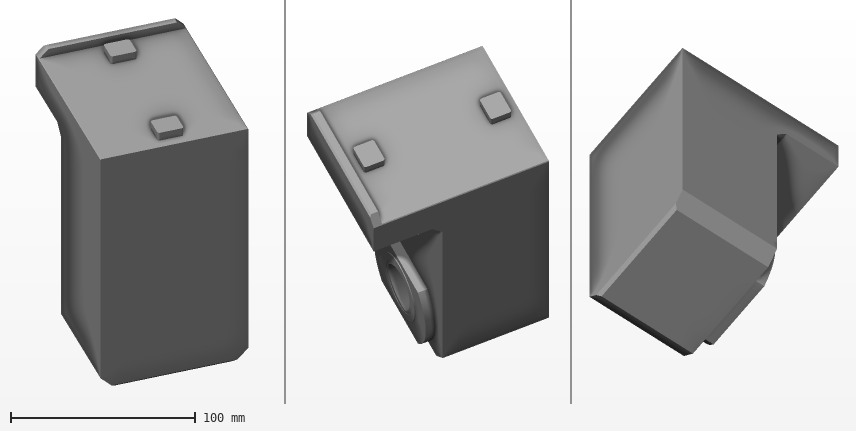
import cadquery as cq
import math

LENGTH = 105.0
WIDTH = 85.0
HEIGHT = 159.0

LIP_HEIGHT = 5.1
LIP_LENGTH = 5.2
LIP_EDGE_CHAMFER = 1.1
DECK_Z = HEIGHT - LIP_HEIGHT
ARM_BOTTOM_Z = 132.0
COLUMN_X = 41.3
ARM_CORNER_CHAMFER = 6.4
BACK_CHAMFER = 2.0

TOP_SIDE_CHAMFER = 5.5
BOTTOM_SIDE_CHAMFER = 8.3

KEY_LENGTH = 12.4
KEY_WIDTH = 15.0
KEY_CORNER_RADIUS = 1.3
KEY_CENTERS_X = (17.2, 92.9)

SOCKET_Z = 24.2
FLANGE_DIAMETER = 66.1
FLANGE_HEIGHT = 47.4
FLANGE_THICKNESS = 5.7
RING_DIAMETER = 40.0
RING_THICKNESS = 0.5
RECESS_DIAMETER = 31.6
RECESS_DEPTH = 0.3
FLANGE_FACE_X = COLUMN_X - FLANGE_THICKNESS
RING_FACE_X = FLANGE_FACE_X - RING_THICKNESS

SOCKET_MEAN_RADIUS = 13.7
SOCKET_LOBE = 1.0
SOCKET_DEPTH = 28.6
SOCKET_RADIUS_LOSS = 0.6
SOCKET_SPLINE_POINTS = 36


def make_body():
    """L-shaped profile across the width, trimmed by the chamfered end outline."""
    profile = (
        cq.Workplane("XZ")
        .moveTo(0, ARM_BOTTOM_Z)
        .lineTo(COLUMN_X - ARM_CORNER_CHAMFER, ARM_BOTTOM_Z)
        .lineTo(COLUMN_X, ARM_BOTTOM_Z - ARM_CORNER_CHAMFER)
        .lineTo(COLUMN_X, 0)
        .lineTo(LENGTH - BACK_CHAMFER, 0)
        .lineTo(LENGTH, BACK_CHAMFER)
        .lineTo(LENGTH, DECK_Z)
        .lineTo(LIP_LENGTH, DECK_Z)
        .lineTo(LIP_LENGTH, HEIGHT)
        .lineTo(LIP_EDGE_CHAMFER, HEIGHT)
        .lineTo(0, HEIGHT - LIP_EDGE_CHAMFER)
        .close()
        .extrude(WIDTH / 2, both=True)
    )
    envelope = (
        cq.Workplane("XY")
        .box(LENGTH, WIDTH, HEIGHT, centered=(False, True, False))
        .edges("|X and >Z")
        .chamfer(TOP_SIDE_CHAMFER)
        .edges("|X and <Z")
        .chamfer(BOTTOM_SIDE_CHAMFER)
    )
    return profile.intersect(envelope)


def make_key(center_x):
    """Rounded rectangular key standing on the deck."""
    return (
        cq.Workplane("XY", origin=(center_x, 0, DECK_Z))
        .rect(KEY_LENGTH, KEY_WIDTH)
        .extrude(LIP_HEIGHT)
        .edges("|Z")
        .fillet(KEY_CORNER_RADIUS)
    )


def make_disc(face_x, diameter, thickness):
    """Disc on the socket axis, running in +X from its outer face."""
    plane = cq.Workplane("YZ", origin=(face_x, 0, SOCKET_Z))
    return plane.circle(diameter / 2).extrude(thickness)


def make_flange():
    """Round flange with flats above and below, carrying a slightly raised ring."""
    flats = cq.Workplane("XY", origin=(FLANGE_FACE_X, 0, SOCKET_Z - FLANGE_HEIGHT / 2)).box(
        FLANGE_THICKNESS, FLANGE_DIAMETER, FLANGE_HEIGHT, centered=(False, True, False)
    )
    flange = make_disc(FLANGE_FACE_X, FLANGE_DIAMETER, FLANGE_THICKNESS).intersect(flats)
    return flange.union(make_disc(RING_FACE_X, RING_DIAMETER, RING_THICKNESS))


def lobed_points(mean_radius):
    """Points of a constant-width three-lobed curve with one lobe toward +Y."""
    points = []
    for index in range(SOCKET_SPLINE_POINTS):
        angle = 2 * math.pi * index / SOCKET_SPLINE_POINTS
        support = mean_radius + SOCKET_LOBE * math.cos(3 * angle)
        slope = -3 * SOCKET_LOBE * math.sin(3 * angle)
        y = support * math.cos(angle) - slope * math.sin(angle)
        z = support * math.sin(angle) + slope * math.cos(angle)
        points.append((y, z))
    return points


def make_socket():
    """Blind lobed socket that narrows with depth."""
    return (
        cq.Workplane("YZ", origin=(RING_FACE_X, 0, SOCKET_Z))
        .spline(lobed_points(SOCKET_MEAN_RADIUS), periodic=True)
        .close()
        .workplane(offset=SOCKET_DEPTH)
        .spline(lobed_points(SOCKET_MEAN_RADIUS - SOCKET_RADIUS_LOSS), periodic=True)
        .close()
        .loft(ruled=True)
    )


result = make_body().union(make_flange())
for key_x in KEY_CENTERS_X:
    result = result.union(make_key(key_x))
result = result.cut(make_disc(RING_FACE_X, RECESS_DIAMETER, RECESS_DEPTH))
result = result.cut(make_socket())